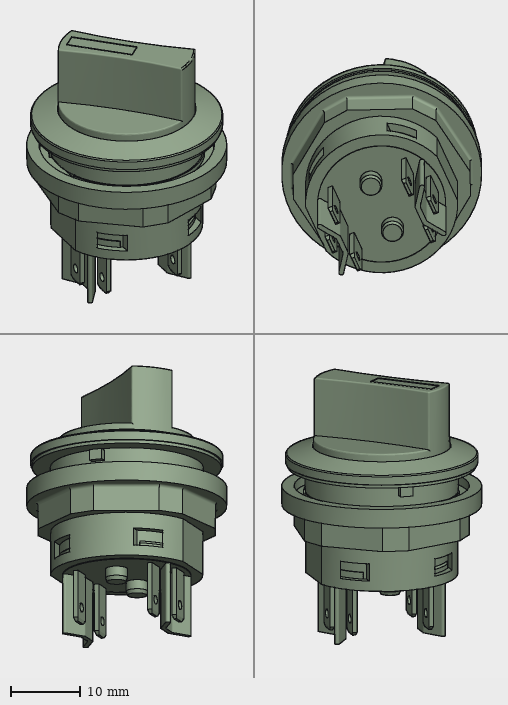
import cadquery as cq
import math


pick_margin = 0.05

terminal_shoulder_z = 1.9
terminal_tip_z = 1.35
pin_tip_z = 6.95
base_z = 8.87
body_bottom_z = 9.0
nut_bottom_z = 15.4
ring_bottom_z = 19.3
seat_z = 20.7
neck_bottom_z = 21.4
ring_top_z = 22.1
flange_bottom_z = 25.05
rim_bottom_z = 25.55
rim_top_z = 26.8
cone_bottom_z = 27.0
cone_top_z = 28.1
disc_top_z = 29.18
grip_top_z = 37.75

rim_diameter = 27.9
rim_step_diameter = 27.4
cone_outer_diameter = 27.55
cone_inner_diameter = 20.55
knob_hole_diameter = 20.05
knob_diameter = 19.85
knob_gap_depth = 0.38
grip_angle = 45.0
grip_end_width = 6.4
grip_waist_width = 5.2
knob_edge_round = 0.23
marker_length = 9.93
marker_width = 2.4
marker_offset = -3.78
marker_depth = 0.1

neck_diameter = 22.2
tab_reach = 12.1
tab_width = 1.93
tab_bottom_z = 23.3
tab_top_z = 24.85
ring_diameter = 29.0
seat_diameter = 25.35
nut_across_flats = 24.15
nut_corner_across_flats = 25.67
nut_angle = 21.7
half_hexagon_turn = 30.0
nut_round = 0.45
body_diameter = 22.05
body_across_flats = 20.7
thread_diameter = 22.6
base_diameter = 18.57

window_near_y = 5.0
window_far_y = 8.45
window_bottom_z = 10.5
window_top_z = 13.05
window_floor_diameter = 19.65
latch_near_y = 5.4
latch_far_y = 8.2
latch_top_z = 11.48
latch_height = 0.2
latch_slope_drop = 0.35

pin_diameter = 3.2
pin_x = 4.0
pin_chamfer_height = 0.55
pin_chamfer_width = 0.23
blade_width = 2.87
blade_thickness = 0.7
blade_hole_diameter = 1.3
blade_hole_z = 3.62
blade_tip_inset_x = 0.45
blade_tip_inset_y = 0.15
side_blade_x = 4.05
side_blade_y = 5.78
middle_blade_y = 7.95
barrier_thickness = 0.7
barrier_web_y = 6.23
barrier_web_half = 1.35
barrier_tip_x = 4.0
barrier_tip_y = 8.05
barrier_bend_round = 0.55


def cylinder(diameter, bottom, top):
    return cq.Workplane("XY").workplane(offset=bottom).circle(diameter / 2).extrude(top - bottom)


def block(x_range, y_range, z_range):
    size = [high - low for low, high in (x_range, y_range, z_range)]
    corner = (x_range[0], y_range[0], z_range[0])
    return cq.Workplane("XY").box(*size, centered=False).translate(corner)


def make_flange():
    """Revolved bezel: stepped rim below a shallow cone, with a gap around the knob."""
    profile = [
        (0, flange_bottom_z),
        (rim_step_diameter / 2, flange_bottom_z),
        (rim_step_diameter / 2, rim_bottom_z),
        (rim_diameter / 2, rim_bottom_z),
        (rim_diameter / 2, rim_top_z),
        (cone_outer_diameter / 2, cone_bottom_z),
        (cone_inner_diameter / 2, cone_top_z),
        (knob_hole_diameter / 2, cone_top_z),
        (knob_hole_diameter / 2, cone_top_z - knob_gap_depth),
        (0, cone_top_z - knob_gap_depth),
    ]
    return cq.Workplane("XZ").polyline(profile).close().revolve(360, (0, 0, 0), (0, 1, 0))


def is_disc_rim(edge, grip_half_width):
    """True for the outer arcs around the top of the disc, beside the grip."""
    center = edge.Center()
    return abs(center.z - disc_top_z) < pick_margin and abs(center.y) > grip_half_width


def make_knob():
    """Round knob cut down on both sides to leave a waisted grip bar standing on a disc."""
    radius = knob_diameter / 2
    half_width = grip_end_width / 2
    half_waist = grip_waist_width / 2
    half_length = math.sqrt(radius**2 - half_width**2)
    knob = cylinder(knob_diameter, cone_top_z - knob_gap_depth, grip_top_z)
    for side in (-1, 1):
        clearance = (
            cq.Workplane("XY")
            .workplane(offset=disc_top_z)
            .moveTo(-half_length, side * half_width)
            .threePointArc((0, side * half_waist), (half_length, side * half_width))
            .lineTo(half_length, side * knob_diameter)
            .lineTo(-half_length, side * knob_diameter)
            .close()
            .extrude(grip_top_z - disc_top_z)
        )
        knob = knob.cut(clearance)
    disc_rim = knob.edges("%CIRCLE").filter(lambda edge: is_disc_rim(edge, half_width))
    knob = knob.edges("(|Z and (not <Z)) or >Z").add(disc_rim).fillet(knob_edge_round)
    marker = (
        cq.Workplane("XY")
        .workplane(offset=grip_top_z - marker_depth)
        .center(marker_offset, 0)
        .rect(marker_length, marker_width)
        .extrude(marker_depth)
    )
    return knob.cut(marker).rotate((0, 0, 0), (0, 0, 1), grip_angle)


def make_neck():
    """Plain neck below the flange with the anti-rotation tab on -X."""
    neck = cylinder(neck_diameter, neck_bottom_z, flange_bottom_z)
    tab = block((-tab_reach, 0), (-tab_width / 2, tab_width / 2), (tab_bottom_z, tab_top_z))
    return neck.union(tab)


def hexagon(across_flats, angle):
    corner_diameter = across_flats / math.cos(math.pi / 6)
    prism = (
        cq.Workplane("XY")
        .workplane(offset=nut_bottom_z)
        .polygon(6, corner_diameter)
        .extrude(ring_bottom_z - nut_bottom_z)
    )
    return prism.rotate((0, 0, 0), (0, 0, 1), angle)


def make_ring_nut():
    """Hexagon with flattened corners, blended into a round ring with a recessed seat."""
    corner_cut = hexagon(nut_corner_across_flats, nut_angle)
    nut = hexagon(nut_across_flats, nut_angle + half_hexagon_turn).intersect(corner_cut)
    ring = cylinder(ring_diameter, ring_bottom_z, ring_top_z)
    joint = cq.selectors.BoxSelector(
        (-ring_diameter, -ring_diameter, ring_bottom_z - pick_margin),
        (ring_diameter, ring_diameter, ring_bottom_z + pick_margin),
    )
    ring_nut = ring.union(nut).edges(joint).edges("%LINE").fillet(nut_round)
    return ring_nut.cut(cylinder(seat_diameter, seat_z, ring_top_z))


def make_window(side_x, side_y):
    """Pocket cut along X down to a round floor."""
    reach = sorted((0, side_x * body_diameter))
    width = sorted((side_y * window_near_y, side_y * window_far_y))
    opening = block(reach, width, (window_bottom_z, window_top_z))
    return opening.cut(cylinder(window_floor_diameter, window_bottom_z, window_top_z))


def make_latch(side_x, side_y):
    """Low ledge on the window floor; the top slopes on one diagonal pair."""
    radius = window_floor_diameter / 2
    slope_drop = latch_slope_drop if side_x == side_y else 0
    profile = [
        (0, window_bottom_z),
        (radius + latch_height, window_bottom_z),
        (radius + latch_height, latch_top_z - slope_drop),
        (radius, latch_top_z),
        (0, latch_top_z),
    ]
    band = cq.Workplane("XZ").polyline(profile).close().revolve(360, (0, 0, 0), (0, 1, 0))
    reach = sorted((0, side_x * body_diameter))
    width = sorted((side_y * latch_near_y, side_y * latch_far_y))
    return band.intersect(block(reach, width, (window_bottom_z, latch_top_z)))


def make_body():
    """Round housing with a wider thread at the top, two flats, four snap windows and a base disc."""
    body = cylinder(body_diameter, body_bottom_z, neck_bottom_z)
    body = body.union(cylinder(thread_diameter, nut_bottom_z, neck_bottom_z))
    half_flats = body_across_flats / 2
    half_flat_width = math.sqrt((body_diameter / 2) ** 2 - half_flats**2)
    for flat_y in ((-thread_diameter, -half_flats), (half_flats, thread_diameter)):
        body = body.cut(block((-half_flat_width, half_flat_width), flat_y, (body_bottom_z, neck_bottom_z)))
    for side_x in (-1, 1):
        for side_y in (-1, 1):
            body = body.cut(make_window(side_x, side_y)).union(make_latch(side_x, side_y))
    return body.union(cylinder(base_diameter, base_z, body_bottom_z))


def make_pin(x):
    """Locating pin with a tapered tip."""
    pin = cylinder(pin_diameter, pin_tip_z, body_bottom_z)
    pin = pin.faces("<Z").edges().chamfer(pin_chamfer_height, pin_chamfer_width)
    return pin.translate((x, 0, 0))


def make_blade(x, y):
    """Terminal blade with a tapered tip and a hole through its thickness."""
    blade = (
        cq.Workplane("XY")
        .workplane(offset=terminal_shoulder_z)
        .rect(blade_width, blade_thickness)
        .extrude(body_bottom_z - terminal_shoulder_z)
    )
    tip = (
        cq.Workplane("XY")
        .workplane(offset=terminal_tip_z)
        .rect(blade_width - 2 * blade_tip_inset_x, blade_thickness - 2 * blade_tip_inset_y)
        .workplane(offset=terminal_shoulder_z - terminal_tip_z)
        .rect(blade_width, blade_thickness)
        .loft(ruled=True)
    )
    hole = (
        cq.Workplane("XZ")
        .center(0, blade_hole_z)
        .circle(blade_hole_diameter / 2)
        .extrude(blade_thickness, both=True)
    )
    return blade.union(tip).cut(hole).translate((x, y, 0))


def make_barrier():
    """Bent insulating wall with round ends, standing on the -Y side."""
    path = cq.Workplane("XY").polyline(
        [
            (-barrier_tip_x, -barrier_tip_y),
            (-barrier_web_half, -barrier_web_y),
            (barrier_web_half, -barrier_web_y),
            (barrier_tip_x, -barrier_tip_y),
        ]
    )
    wall = path.offset2D(barrier_thickness / 2, "arc").extrude(body_bottom_z)
    inner_bends = cq.selectors.BoxSelector(
        (-barrier_tip_x / 2, -barrier_tip_y, 0),
        (barrier_tip_x / 2, -barrier_web_y - barrier_thickness / 4, body_bottom_z),
    )
    return wall.edges("|Z").edges(inner_bends).fillet(barrier_bend_round)


def make_terminals():
    """Three blades and a barrier, repeated on the -Y and +Y sides."""
    group = make_barrier().union(make_blade(0, -middle_blade_y))
    for x in (-side_blade_x, side_blade_x):
        group = group.union(make_blade(x, -side_blade_y))
    return group.union(group.mirror("XZ"))


result = make_flange().union(make_knob()).union(make_neck()).union(make_ring_nut()).union(make_body())
result = result.union(make_terminals())
for x in (-pin_x, pin_x):
    result = result.union(make_pin(x))